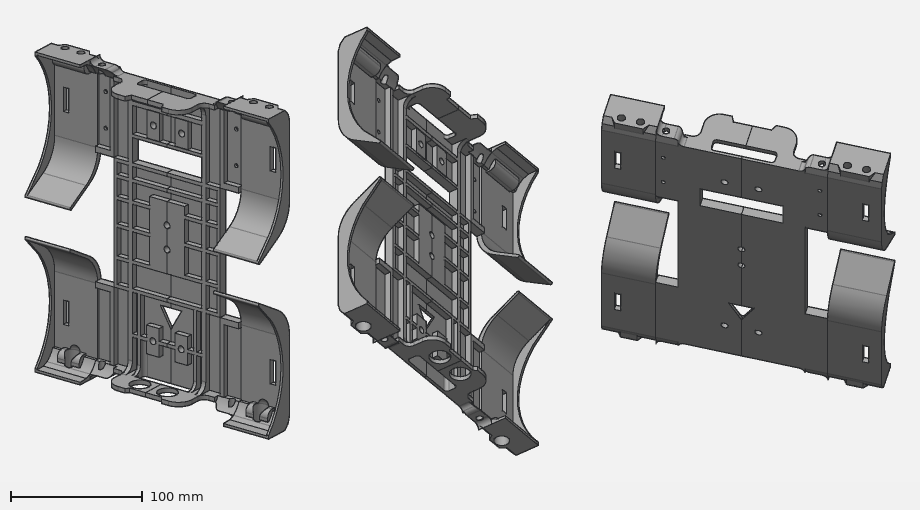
import cadquery as cq
import math

half_width = 110.0
half_length = 132.0
overall_depth = 40.0
floor_thickness = 2.5
frame_depth = 7.5

fender_inner_x = 67.5
fender_mid_x = (half_width + fender_inner_x) / 2
pan_thickness = 4.4
tip_thickness = 2.5
side_wall = 2.0
lip_depth = 27.0
lip_thickness = 2.3
back_edge_z = 121.5
back_edge_break = (1.7, 127.3)
back_edge_depth = 6.0
arch_radius = 30.0
arch_start_z = 55.7
arch_angle = math.radians(60)
wheel_radius = 74.0
wheel_z = 80.0
wheel_gap = 8.5
wheel_break_depth = 23.0
end_step_z = 118.2
end_step_depth = 7.0
end_curve_middle = (10.0, 123.2)
end_curve_top = (14.2, 127.3)
end_slope_top = (19.0, 129.3)
strap_slot_x = 97.4
strap_slot_z = 87.8
strap_slot_size = (5.0, 20.0)
light_axis_depth = 7.3
light_diameter = 6.0
light_pitch = 15.0
light_block_width = 30.0
block_axis_z = 122.5
block_radius = 6.0
block_top_z = 125.5
pad_back_width = 22.4
pad_back_depth = 1.2
pad_full_depth = 6.5
lamp_diameter = 12.0
lamp_block_width = 20.6
lamp_centre_z = 117.0
lamp_axis_depth = 8.0

frame_x = 50.0
wing_wall_x = 53.5
rim_x = 47.0
rail_inner_x = 32.5
rail_outer_x = 36.5
rib_width = 3.0
grid_half_length = 53.4
grid_rib_tops = (53.4, 40.2, 22.2, -0.5, -27.0, -50.4)
slab_x = 16.5
slab_half_length = 29.7
wing_rib = 5.0
plate_end_z = 118.5
flange_end_z = 122.3
window_top_z = 74.2
upper_pocket_z = (77.0, 100.7)
top_pocket_z = 104.4
screw_pad_width = 12.0
upper_pad_depth = 6.9
screw_pad_x = 13.3
screw_pad_z = (upper_pocket_z[0] + upper_pocket_z[1]) / 2
screw_pad_length = upper_pocket_z[1] - upper_pocket_z[0]
screw_diameter = 5.5
slab_hole_z = 10.0
pin_diameter = 3.0
pin_x = 61.5
pin_z = (103.1, 72.9)
triangle_top_z = -60.0
triangle_side = 20.0
inner_rib_x = 25.0
cross_rib_top_z = -87.5
rail_gusset = 8.5
inner_gusset = 6.5
corner_fillet = 2.8

wing_depth, wing_end_z = end_curve_top
neck_x = 47.6
wing_flat_x = 53.3
wing_s_half_run = 4.2
wing_fillet = half_length - wing_end_z
wing_hole_x = 61.2
wing_hole_depth = 7.5
wing_hole_diameter = 5.5
neck_depth = 11.5
ear_x = 36.4
neck_fillet = 6.0
ear_depth = 37.8
ear_radius = 12.5
notch_x = 17.3
notch_chamfer = 2.4
notch_depth = {"top": 32.7, "bottom": 35.0}
slot_half_width = inner_rib_x
slot_depths = (floor_thickness, 13.0)
slot_ledge_width = 1.8
slot_ledge_drop = 1.0
sonar_diameter = 16.5
sonar_x = 13.0
sonar_depth = 24.5


def box(x0, x1, z0, z1, d0, d1):
    """Box between two X, two Z and two depth values."""
    return (cq.Workplane("XY")
            .box(x1 - x0, d1 - d0, z1 - z0, centered=False)
            .translate((x0, -d1, z0)))


def profile(points):
    """Start a side profile; each point is (depth, z)."""
    depth, z = points[0]
    line = cq.Workplane("YZ").moveTo(-depth, z)
    return lines(line, points[1:])


def lines(path, points):
    for depth, z in points:
        path = path.lineTo(-depth, z)
    return path


def arc(path, middle, end):
    return path.threePointArc((-middle[0], middle[1]), (-end[0], end[1]))


def along_x(path, x0, x1):
    """Close a side profile and extrude it from x0 to x1."""
    return path.close().extrude(x1 - x0).translate((x0, 0, 0))


def hole_along_y(x, z, diameter, depth=frame_depth):
    return cq.Workplane("XZ").center(x, z).circle(diameter / 2).extrude(depth)


def hole_along_z(x, depth, diameter, z0, z1):
    return (cq.Workplane("XY").workplane(offset=z0)
            .center(x, -depth).circle(diameter / 2).extrude(z1 - z0))


def arch_point(radius, angle):
    """Point of the mudguard bend, the angle measured from the flat back."""
    return (arch_radius - radius * math.cos(angle), arch_start_z - radius * math.sin(angle))


tip_radius = tip_thickness / 2
bend_end = arch_point(arch_radius - tip_radius, arch_angle)
straight_length = (overall_depth - tip_radius - bend_end[0]) / math.sin(arch_angle)
tip_centre = (overall_depth - tip_radius, bend_end[1] - straight_length * math.cos(arch_angle))


def tip_point(angle):
    return (tip_centre[0] + tip_radius * math.cos(angle), tip_centre[1] + tip_radius * math.sin(angle))


def outer_outline():
    """Back of the fender from the end wall, round the bend to the inner side of the tip."""
    path = profile([(lip_depth, half_length), (back_edge_depth, half_length)])
    path = lines(path, [back_edge_break, (0, back_edge_z), (0, arch_start_z)])
    path = arc(path, arch_point(arch_radius, arch_angle / 2), arch_point(arch_radius, arch_angle))
    path = lines(path, [tip_point(arch_angle + math.pi)])
    return arc(path, tip_point(arch_angle - math.pi / 2), tip_point(arch_angle))


def fender_pan():
    guard = arch_point(arch_radius - tip_thickness, arch_angle)
    corner_z = guard[1] + (guard[0] - pan_thickness) / math.tan(arch_angle)
    bend_z = corner_z + arch_radius * math.tan(arch_angle / 2)

    def bend_point(angle):
        return (pan_thickness + arch_radius * (1 - math.cos(angle)), bend_z - arch_radius * math.sin(angle))

    path = lines(outer_outline(), [bend_point(arch_angle)])
    path = arc(path, bend_point(arch_angle / 2), bend_point(0))
    path = lines(path, [(pan_thickness, end_step_z), (end_step_depth, end_step_z)])
    path = arc(path, end_curve_middle, end_curve_top)
    path = lines(path, [end_slope_top, (lip_depth, half_length - lip_thickness)])
    return along_x(path, fender_inner_x, half_width)


def fender_side_wall():
    def wheel_reach(depth):
        rise = depth - wheel_gap
        return math.sqrt(2 * wheel_radius * rise - rise ** 2)

    path = lines(outer_outline(), [(wheel_break_depth, wheel_z - wheel_reach(wheel_break_depth))])
    path = arc(path, (wheel_gap, wheel_z), (lip_depth, wheel_z + wheel_reach(lip_depth)))
    return along_x(path, half_width - side_wall, half_width)


def end_block(width):
    """Rounded block in the end fillet, continued to the back edge as a bevelled pad."""
    x0 = fender_mid_x - width / 2
    x1 = fender_mid_x + width / 2
    slant = block_radius * math.sqrt(0.5)
    front = light_axis_depth + block_radius
    path = profile([(pad_back_depth, block_top_z), (pad_back_depth, block_axis_z - block_radius),
                    (light_axis_depth, block_axis_z - block_radius)])
    path = arc(path, (light_axis_depth + slant, block_axis_z - slant), (front, block_axis_z))
    block = along_x(lines(path, [(front, block_top_z)]), x0, x1)
    bevel = (light_block_width - pad_back_width) / 2
    pad = (cq.Workplane("XY").workplane(offset=back_edge_z)
           .polyline([(x0 + bevel, -pad_back_depth), (x1 - bevel, -pad_back_depth),
                      (x1, -pad_full_depth), (x0, -pad_full_depth)])
           .close().extrude(half_length - back_edge_z))
    return block.union(pad)


def plain_fender(block_width):
    slot_w, slot_l = strap_slot_size
    slot = box(strap_slot_x - slot_w / 2, strap_slot_x + slot_w / 2,
               strap_slot_z - slot_l / 2, strap_slot_z + slot_l / 2, 0, frame_depth)
    return fender_pan().union(fender_side_wall()).union(end_block(block_width)).cut(slot)


def round_seat(x, depth, diameter, centre_z):
    """Round hole from the end of the fender, closed by a hemisphere."""
    dome = cq.Workplane("XY").sphere(diameter / 2).translate((x, -depth, centre_z))
    return hole_along_z(x, depth, diameter, centre_z, half_length).union(dome)


def upper_fender():
    """Fender with two blind light holes in its end."""
    fender = plain_fender(light_block_width)
    for side in (-1, 1):
        x = fender_mid_x + side * light_pitch / 2
        fender = fender.cut(round_seat(x, light_axis_depth, light_diameter, block_axis_z))
    return fender


def lower_fender():
    """Fender with one lamp seat open to the front and the end."""
    seat = round_seat(fender_mid_x, lamp_axis_depth, lamp_diameter, lamp_centre_z)
    return plain_fender(lamp_block_width).cut(seat).mirror("XY")


def frame_plate():
    """Back plate with wings, hollowed so that rails, rims and ribs remain."""
    plate = box(0, frame_x, -plate_end_z, plate_end_z, 0, frame_depth)
    pockets = []
    for sign in (-1, 1):
        near, far = sorted((sign * grid_half_length, sign * plate_end_z))
        plate = plate.union(box(frame_x, fender_inner_x, near, far, 0, frame_depth))
        pockets.append((rail_outer_x, frame_x, near, far))
        near, far = sorted((sign * (grid_half_length + wing_rib), sign * plate_end_z))
        pockets.append((wing_wall_x, fender_inner_x, near, far))

    for top, below in zip(grid_rib_tops, grid_rib_tops[1:]):
        pockets.append((rail_outer_x, rim_x, below, top - rib_width))
        pockets.append((0, rail_inner_x, below, top - rib_width))
    pockets.append((0, rail_inner_x, upper_pocket_z[0], upper_pocket_z[1]))
    pockets.append((0, rail_inner_x, top_pocket_z, plate_end_z))

    rib_outer_x = inner_rib_x + rib_width
    cross_rib_bottom_z = cross_rib_top_z - rib_width
    for x0, x1 in ((0, inner_rib_x), (rib_outer_x, rail_inner_x)):
        pockets.append((x0, x1, cross_rib_top_z, -grid_half_length))
        pockets.append((x0, x1, -plate_end_z, cross_rib_bottom_z))

    for x0, x1, z0, z1 in pockets:
        plate = plate.cut(box(x0, x1, z0, z1, floor_thickness, frame_depth))
    return plate.cut(box(0, rail_inner_x, grid_half_length, window_top_z, 0, frame_depth))


def raised_pads():
    pads = box(0, slab_x, -slab_half_length, slab_half_length, 0, frame_depth)
    for z, height in ((screw_pad_z, upper_pad_depth), (-screw_pad_z, frame_depth)):
        pads = pads.union(box(screw_pad_x - screw_pad_width / 2, screw_pad_x + screw_pad_width / 2,
                              z - screw_pad_length / 2, z + screw_pad_length / 2, 0, height))
    return pads


def plate_holes():
    height = triangle_side * math.sqrt(3) / 2
    holes = (cq.Workplane("XZ").moveTo(0, triangle_top_z).lineTo(triangle_side / 2, triangle_top_z)
             .lineTo(0, triangle_top_z - height).close().extrude(frame_depth))
    for sign in (-1, 1):
        holes = holes.union(hole_along_y(0, sign * slab_hole_z, screw_diameter))
        holes = holes.union(hole_along_y(screw_pad_x, sign * screw_pad_z, screw_diameter))
    for z in pin_z:
        holes = holes.union(hole_along_y(pin_x, z, pin_diameter))
    return holes


def wing_outline():
    """Wing end seen from the front: fillet to the fender, flat, S-curve down to the flange."""
    s_rise = (wing_end_z - flange_end_z) / 2
    half_turn = math.atan(s_rise / wing_s_half_run)
    s_run = wing_fillet * math.sin(2 * half_turn)
    bend_x = wing_fillet * math.sin(half_turn)
    bend_z = wing_fillet * (1 - math.cos(half_turn))
    flange_x = wing_flat_x - 2 * s_run
    slant = wing_fillet * (1 - math.sqrt(0.5))
    fillet_top = wing_end_z + wing_fillet
    return (cq.Workplane("XZ").moveTo(flange_x - neck_fillet, plate_end_z)
            .lineTo(flange_x - neck_fillet, flange_end_z).lineTo(flange_x, flange_end_z)
            .threePointArc((flange_x + bend_x, flange_end_z + bend_z),
                           (wing_flat_x - s_run, flange_end_z + s_rise))
            .threePointArc((wing_flat_x - bend_x, wing_end_z - bend_z), (wing_flat_x, wing_end_z))
            .lineTo(fender_inner_x - wing_fillet, wing_end_z)
            .threePointArc((fender_inner_x - slant, wing_end_z + slant), (fender_inner_x, fillet_top))
            .lineTo(fender_inner_x, plate_end_z).close().extrude(wing_depth))


def wing_end():
    """Wing end, hollowed like the fender end and bevelled along the back."""
    inner = profile([(0, plate_end_z - frame_depth), (end_step_depth, plate_end_z)])
    inner = arc(inner, end_curve_middle, end_curve_top)
    inner = lines(inner, [(wing_depth, plate_end_z - frame_depth)])
    break_depth, break_z = back_edge_break
    back = profile([(0, back_edge_z), (0, half_length), (break_depth, half_length), (break_depth, break_z)])
    return (wing_outline().cut(along_x(inner, 0, fender_inner_x))
            .cut(along_x(back, frame_x, fender_inner_x)))


def flange(end):
    """Upper end flange with ear, handle slot and front notch."""
    thickness = flange_end_z - plate_end_z
    notch = notch_depth[end]
    ear_start = ear_depth - ear_radius
    swing = ear_radius * math.sqrt(0.5)
    neck = neck_fillet * (1 - math.sqrt(0.5))
    plate = (cq.Workplane("XY").workplane(offset=plate_end_z)
             .moveTo(0, 0).lineTo(neck_x, 0).lineTo(neck_x, -neck_depth)
             .lineTo(ear_x + neck_fillet, -neck_depth)
             .threePointArc((ear_x + neck, -neck_depth - neck),
                            (ear_x, -neck_depth - neck_fillet))
             .lineTo(ear_x, -ear_start)
             .threePointArc((ear_x - ear_radius + swing, -ear_start - swing),
                            (ear_x - ear_radius, -ear_depth))
             .lineTo(notch_x, -ear_depth).lineTo(notch_x - notch_chamfer, -notch)
             .lineTo(0, -notch).close().extrude(thickness))
    slot = (box(-slot_half_width, slot_half_width, plate_end_z, flange_end_z, *slot_depths)
            .edges("|Z").fillet(corner_fillet))
    plate = plate.cut(slot)
    if end == "bottom":
        slot_front = slot_depths[1]
        plate = plate.cut(box(-slot_half_width, slot_half_width, plate_end_z, plate_end_z + slot_ledge_drop,
                              slot_front - corner_fillet, slot_front + slot_ledge_width))
        plate = plate.cut(hole_along_z(sonar_x, sonar_depth, sonar_diameter, plate_end_z, flange_end_z))
    return plate


def gusset(x0, x1, size):
    """Hollow-curved gusset that carries a rib up onto the upper flange."""
    slant = size * (1 - math.sqrt(0.5))
    path = profile([(frame_depth, plate_end_z - size), (frame_depth, plate_end_z),
                    (frame_depth + size, plate_end_z)])
    path = arc(path, (frame_depth + slant, plate_end_z - slant), (frame_depth, plate_end_z - size))
    return along_x(path, x0, x1)


def frame_end(end):
    """Everything at the upper end of the right half: wing, flange and gussets."""
    hole = hole_along_z(wing_hole_x, wing_hole_depth, wing_hole_diameter, plate_end_z, wing_end_z)
    return (wing_end().union(flange(end)).cut(hole)
            .union(gusset(rail_inner_x, rail_outer_x, rail_gusset)))


def lower_rib_fillet():
    """Concave fillet between the lower floor and the inner rib."""
    slant = corner_fillet * (1 - math.sqrt(0.5))
    z0 = -plate_end_z
    corner = (inner_rib_x, -floor_thickness)
    return (cq.Workplane("XY").workplane(offset=z0).moveTo(*corner)
            .lineTo(inner_rib_x - corner_fillet, -floor_thickness)
            .threePointArc((inner_rib_x - slant, -floor_thickness - slant),
                           (inner_rib_x, -floor_thickness - corner_fillet))
            .close().extrude(cross_rib_top_z - z0))


def frame_half():
    """Right half of the centre frame; the halves meet at X = 0."""
    lower_end = frame_end("bottom").union(gusset(inner_rib_x, inner_rib_x + rib_width, inner_gusset))
    half = frame_plate().union(raised_pads()).union(lower_rib_fillet())
    half = half.union(frame_end("top")).union(lower_end.mirror("XY"))
    return half.cut(plate_holes())


bodies = []
for right_body in (frame_half(), upper_fender(), lower_fender()):
    bodies.append(right_body.val())
    bodies.append(right_body.mirror("YZ").val())

result = cq.Compound.makeCompound(bodies)